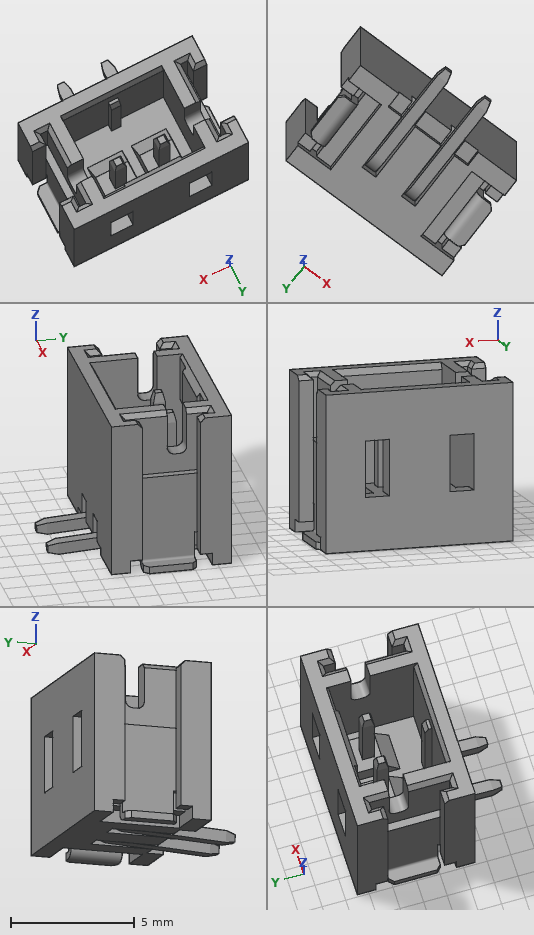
import cadquery as cq
import math

housing_width = 7.95
housing_depth = 5.0
housing_height = 6.6
mid_depth = housing_depth / 2

cavity_width = 4.6
wall_thickness = 0.7
cavity_front = wall_thickness
cavity_back = housing_depth - wall_thickness
cavity_floor = 1.6
front_lead_in = 0.16
front_lead_in_angle = 60.0
back_lead_in = 0.1
back_lead_in_slope = 1.38

guide_width = 2.58
guide_thickness = 0.13
window_top = 4.58

key_width = 0.43
key_top_depth = 0.135
key_depth = 0.295
key_height = 5.565

slot_centre = 3.195
slot_thickness = 0.325
slot_length = 3.4
slot_opening = 2.4
slot_chamfer = 0.2
slot_outer = slot_centre + slot_thickness / 2
slot_inner = slot_centre - slot_thickness / 2
foot_recess_height = 0.525

notch_width = 0.8
notch_centre = 2.95
notch_bottom = 4.68
notch_radius = 0.3

pin_pitch = 2.0
pin_size = 0.5
pin_tip_size = 0.3
pin_tip_length = 0.41
pin_centre = 3.09
pin_height = 5.65
pin_reach = 2.0
pin_bend_radius = 0.23
pin_bend_height = 0.8
foot_tilt = 3.0
pin_positions = (-pin_pitch / 2, pin_pitch / 2)

pedestal_width = 1.58
pedestal_front = 1.915
pedestal_height = 0.635
pedestal_draft = 4.1
pedestal_top = cavity_floor + pedestal_height

channel_width = 0.69
channel_mouth_height = 1.24
relief_width = 4.05
relief_height = 0.32

tab_thickness = slot_thickness
tab_top = 3.89
tab_shoulder = 1.265
tab_foot_width = 2.2
tab_foot_corner = 0.2
tab_foot_end = 3.91
tab_foot_thickness = 0.3
tab_drop = 0.15
tab_bend_radius = 0.095

overcut = 0.08


def box(x_range, y_range, z_range):
    """Box between the given limits on each axis."""
    lows, highs = zip(x_range, y_range, z_range)
    sizes = [high - low for low, high in zip(lows, highs)]
    return cq.Workplane("XY").box(*sizes, centered=False).translate(lows)


def across(points, width, centre=0.0):
    """Prism with a (Y, Z) outline, running along X and centred on the given X."""
    prism = cq.Workplane("YZ").polyline(points).close().extrude(width / 2, both=True)
    return prism.translate((centre, 0, 0))


def both_ends(body):
    """The body at the +X end together with its mirror image at the -X end."""
    return body.union(body.mirror("YZ"))


def cavity():
    """Cavity with sloped lead-ins along the front and back rims."""
    front_drop = front_lead_in * math.tan(math.radians(front_lead_in_angle))
    back_drop = back_lead_in * back_lead_in_slope
    outline = [
        (cavity_front, cavity_floor),
        (cavity_front, housing_height - front_drop),
        (cavity_front - front_lead_in, housing_height),
        (cavity_back + back_lead_in, housing_height),
        (cavity_back, housing_height - back_drop),
        (cavity_back, cavity_floor),
    ]
    return across(outline, cavity_width)


def back_guide():
    """Thick middle part of the back wall; its sloped top continues the rim's lead-in."""
    face = cavity_back - guide_thickness
    face_top = housing_height - (back_lead_in + guide_thickness) * back_lead_in_slope
    wall_top = housing_height - back_lead_in * back_lead_in_slope
    outline = [
        (face, cavity_floor),
        (face, face_top),
        (cavity_back, wall_top),
        (cavity_back, cavity_floor),
    ]
    return across(outline, guide_width)


def back_windows():
    window = box(
        (guide_width / 2, cavity_width / 2),
        (cavity_back, housing_depth),
        (pedestal_top, window_top),
    )
    return both_ends(window)


def front_key():
    """Key with a flat top and a sloped nose."""
    nose_drop = (key_depth - key_top_depth) * math.tan(math.radians(front_lead_in_angle))
    outline = [
        (cavity_front, cavity_floor),
        (cavity_front, key_height),
        (cavity_front + key_top_depth, key_height),
        (cavity_front + key_depth, key_height - nose_drop),
        (cavity_front + key_depth, cavity_floor),
    ]
    return across(outline, key_width)


def pedestal(x):
    """Raised floor with a 45 degree front slope and drafted sides."""
    slope = [
        (pedestal_front, cavity_floor),
        (pedestal_front + pedestal_height, pedestal_top),
        (cavity_back, pedestal_top),
        (cavity_back, cavity_floor),
    ]
    inset = pedestal_height * math.tan(math.radians(pedestal_draft))
    drafted = (
        cq.Workplane("XZ")
        .polyline([
            (x - pedestal_width / 2, cavity_floor),
            (x + pedestal_width / 2, cavity_floor),
            (x + pedestal_width / 2 - inset, pedestal_top),
            (x - pedestal_width / 2 + inset, pedestal_top),
        ])
        .close()
        .extrude(-housing_depth)
    )
    return across(slope, pedestal_width, x).intersect(drafted)


def tab_slots():
    """T-shaped slots through the full height, chamfered at the rim, with a recess for the tab foot."""
    opening_end = housing_width / 2 + slot_chamfer + overcut
    opening_centre = (slot_centre + opening_end) / 2
    rectangles = (
        (slot_centre, slot_thickness, slot_length),
        (opening_centre, opening_end - slot_centre, slot_opening),
    )
    foot_recess = box(
        (cavity_width / 2, housing_width / 2),
        (mid_depth - slot_length / 2, mid_depth + slot_length / 2),
        (0, foot_recess_height),
    )
    slot = foot_recess
    for x, x_size, y_size in rectangles:
        plan = cq.Workplane("XY", origin=(x, mid_depth, 0))
        slot = slot.union(plan.rect(x_size, y_size).extrude(housing_height))
        rim = (
            plan.workplane(offset=housing_height - slot_chamfer)
            .rect(x_size, y_size)
            .workplane(offset=slot_chamfer)
            .rect(x_size + 2 * slot_chamfer, y_size + 2 * slot_chamfer)
            .loft()
        )
        slot = slot.union(rim)
    return both_ends(slot)


def end_notches():
    notch = box(
        (-slot_centre, slot_centre),
        (notch_centre - notch_width / 2, notch_centre + notch_width / 2),
        (notch_bottom, housing_height + overcut),
    )
    return notch.edges("|X and <Z").fillet(notch_radius)


def pin_channel(x):
    """Underside channel with a flared mouth, and the square hole above it for the pin."""
    shaft_back = pin_centre + pin_size / 2
    mouth_flare = channel_mouth_height - pin_bend_height
    outline = [
        (0, 0),
        (0, channel_mouth_height),
        (mouth_flare, pin_bend_height),
        (shaft_back, pin_bend_height),
        (shaft_back, 0),
    ]
    hole = (
        cq.Workplane("XY", origin=(x, pin_centre, pin_bend_height))
        .rect(pin_size, pin_size)
        .extrude(pedestal_top - pin_bend_height)
    )
    return across(outline, channel_width, x).union(hole)


def make_housing():
    body = box((-housing_width / 2, housing_width / 2), (0, housing_depth), (0, housing_height))
    body = body.cut(cavity()).union(back_guide()).union(front_key())
    for x in pin_positions:
        body = body.union(pedestal(x))
    relief = box((-relief_width / 2, relief_width / 2), (0, wall_thickness), (0, relief_height))
    body = body.cut(back_windows()).cut(tab_slots()).cut(end_notches()).cut(relief)
    for x in pin_positions:
        body = body.cut(pin_channel(x))
    return body


def pointed_bar(plane, length):
    """Square bar along the plane's normal, tapered at its far end."""
    straight = length - pin_tip_length
    taper = math.degrees(math.atan((pin_size - pin_tip_size) / 2 / pin_tip_length))
    bar = cq.Workplane(plane).rect(pin_size, pin_size).extrude(straight)
    tip = (
        cq.Workplane(plane)
        .workplane(offset=straight)
        .rect(pin_size, pin_size)
        .extrude(pin_tip_length, taper=taper)
    )
    return bar.union(tip)


def make_pin(x):
    """Upright shaft, bend and slightly drooping foot that leaves through the front."""
    tilt = math.radians(foot_tilt)
    bend_axis_y = pin_centre - pin_size / 2 - pin_bend_radius
    centreline_radius = pin_bend_radius + pin_size / 2
    foot_y = bend_axis_y + centreline_radius * math.sin(tilt)
    foot_z = pin_bend_height - centreline_radius * math.cos(tilt)
    foot_length = (foot_y + pin_reach - pin_tip_size / 2 * math.sin(tilt)) / math.cos(tilt)

    shaft_plane = cq.Plane(origin=(x, pin_centre, pin_bend_height))
    foot_plane = cq.Plane(
        origin=(x, foot_y, foot_z),
        xDir=(1, 0, 0),
        normal=(0, -math.cos(tilt), -math.sin(tilt)),
    )
    bend = (
        cq.Workplane(shaft_plane)
        .rect(pin_size, pin_size)
        .revolve(90 - foot_tilt, (0.08, -centreline_radius), (0, -centreline_radius))
    )
    shaft = pointed_bar(shaft_plane, pin_height - pin_bend_height)
    return shaft.union(bend).union(pointed_bar(foot_plane, foot_length))


def make_tab(side):
    """Plate that fills the end slot, with a narrower foot bent outward below the housing."""
    foot_top = tab_foot_thickness - tab_drop
    plate = box(
        (slot_inner, slot_outer),
        (mid_depth - slot_length / 2, mid_depth + slot_length / 2),
        (tab_shoulder, tab_top),
    )
    foot = (
        cq.Workplane("XZ")
        .polyline([
            (slot_inner, tab_shoulder),
            (slot_outer, tab_shoulder),
            (slot_outer, foot_top),
            (tab_foot_end, foot_top),
            (tab_foot_end, -tab_drop),
            (slot_inner, -tab_drop),
        ])
        .close()
        .extrude(tab_foot_width / 2, both=True)
        .translate((0, mid_depth, 0))
    )
    inner_bend = cq.selectors.NearestToPointSelector((slot_outer, mid_depth, foot_top))
    outer_bend = cq.selectors.NearestToPointSelector((slot_inner, mid_depth, -tab_drop))
    foot = foot.edges("|Y").edges(inner_bend).fillet(tab_bend_radius)
    foot = foot.edges("|Y").edges(outer_bend).fillet(tab_bend_radius + tab_thickness)
    foot = foot.edges("|Z and >X").chamfer(tab_foot_corner)
    tab = plate.union(foot)
    return tab if side > 0 else tab.mirror("YZ")


housing = make_housing()
pins = [make_pin(x) for x in pin_positions]
tabs = [make_tab(side) for side in (-1, 1)]

result = cq.Compound.makeCompound([
    housing.val(),
    *[pin.val() for pin in pins],
    *[tab.val() for tab in tabs],
])